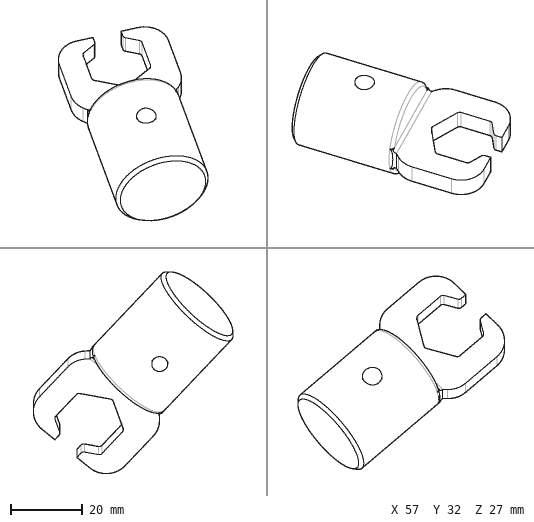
import cadquery as cq
import math

LENGTH = 57.0
BODY_DIAMETER = 27.0
BODY_START = 26.05
BODY_EDGE_RADIUS = 1.0
REAR_CHAMFER = 1.0
BODY_RADIUS = BODY_DIAMETER / 2

HEAD_WIDTH = 32.0
HEAD_THICKNESS = 6.0
HEAD_CORNER_RADIUS = 7.0
HEAD_SHOULDER_START = 19.1
SHOULDER_ANGLE = math.radians(45)
NECK_HALF_WIDTH = 12.95
NECK_FILLET = 1.0
EMBED = 2.85

HEX_ACROSS_FLATS = 17.2
HEX_CORNER_RADIUS = HEX_ACROSS_FLATS / math.sqrt(3)
JAW_EDGE_RADIUS = 1.0
MOUTH_WIDTH = 8.2

HOLE_X = 40.05
HOLE_DIAMETER = 5.5
SMALL_HOLE_DIAMETER = 4.5


def make_body():
    body = cq.Workplane("YZ", origin=(BODY_START, 0, 0)).circle(BODY_RADIUS).extrude(LENGTH - BODY_START)
    body = body.faces("<X").edges().fillet(BODY_EDGE_RADIUS)
    return body.faces(">X").edges().chamfer(REAR_CHAMFER)


def shoulder_point(angle):
    """Point on the rounded shoulder, at an angle turned from the straight side."""
    x = HEAD_SHOULDER_START + HEAD_CORNER_RADIUS * math.sin(angle)
    y = HEAD_WIDTH / 2 - HEAD_CORNER_RADIUS * (1 - math.cos(angle))
    return x, y


def make_head():
    half_width = HEAD_WIDTH / 2
    corner_y = half_width - HEAD_CORNER_RADIUS
    corner_offset = HEAD_CORNER_RADIUS * math.sqrt(0.5)
    corner_middle = (HEAD_CORNER_RADIUS - corner_offset, corner_y + corner_offset)
    shoulder_end = shoulder_point(SHOULDER_ANGLE)
    neck_x = shoulder_end[0] + (shoulder_end[1] - NECK_HALF_WIDTH) / math.tan(SHOULDER_ANGLE)

    upper_half = (
        cq.Workplane("XY", origin=(0, 0, -HEAD_THICKNESS / 2))
        .lineTo(0, corner_y)
        .threePointArc(corner_middle, (HEAD_CORNER_RADIUS, half_width))
        .lineTo(HEAD_SHOULDER_START, half_width)
        .threePointArc(shoulder_point(SHOULDER_ANGLE / 2), shoulder_end)
        .lineTo(neck_x, NECK_HALF_WIDTH)
        .lineTo(BODY_START + EMBED, NECK_HALF_WIDTH)
        .lineTo(BODY_START + EMBED, 0)
        .close()
        .extrude(HEAD_THICKNESS)
    )
    return upper_half.union(upper_half.mirror("XZ"))


def make_neck_fillets():
    """Concave fillets where the flat head faces meet the end of the body."""
    face_z = HEAD_THICKNESS / 2
    start_x = BODY_START - NECK_FILLET
    arc_offset = NECK_FILLET * math.sqrt(0.5)
    fillet = (
        cq.Workplane("XZ", origin=(0, NECK_HALF_WIDTH, 0))
        .moveTo(start_x, face_z)
        .threePointArc(
            (start_x + arc_offset, face_z + NECK_FILLET - arc_offset),
            (BODY_START, face_z + NECK_FILLET),
        )
        .lineTo(BODY_START + BODY_EDGE_RADIUS, face_z + NECK_FILLET)
        .lineTo(BODY_START + BODY_EDGE_RADIUS, face_z)
        .close()
        .extrude(2 * NECK_HALF_WIDTH)
    )
    envelope = cq.Workplane("YZ").circle(BODY_RADIUS).extrude(LENGTH)
    return fillet.union(fillet.mirror("XY")).intersect(envelope)


def make_jaw():
    """Hexagonal opening with rounded corners and a mouth through the front of the head."""
    bottom = cq.Workplane("XY", origin=(0, 0, -HEAD_THICKNESS / 2))
    hexagon = bottom.center(HEX_CORNER_RADIUS, 0).polygon(6, 2 * HEX_CORNER_RADIUS).extrude(HEAD_THICKNESS)
    mouth = bottom.rect(2 * HEX_CORNER_RADIUS, MOUTH_WIDTH).extrude(HEAD_THICKNESS)
    jaw = hexagon.union(mouth)
    return jaw.edges("|Z").edges("not <X").fillet(JAW_EDGE_RADIUS)


def make_cross_hole():
    """Stepped hole with a 45 degree cone between its two diameters."""
    radius = HOLE_DIAMETER / 2
    small_radius = SMALL_HOLE_DIAMETER / 2
    return (
        cq.Workplane("XZ")
        .moveTo(0, -BODY_RADIUS)
        .lineTo(small_radius, -BODY_RADIUS)
        .lineTo(small_radius, small_radius - radius)
        .lineTo(radius, 0)
        .lineTo(radius, BODY_RADIUS)
        .lineTo(0, BODY_RADIUS)
        .close()
        .revolve(360, (0, 0, 0), (0, 1, 0))
        .translate((HOLE_X, 0, 0))
    )


result = make_body().union(make_head()).union(make_neck_fillets())
result = result.cut(make_jaw()).cut(make_cross_hole())